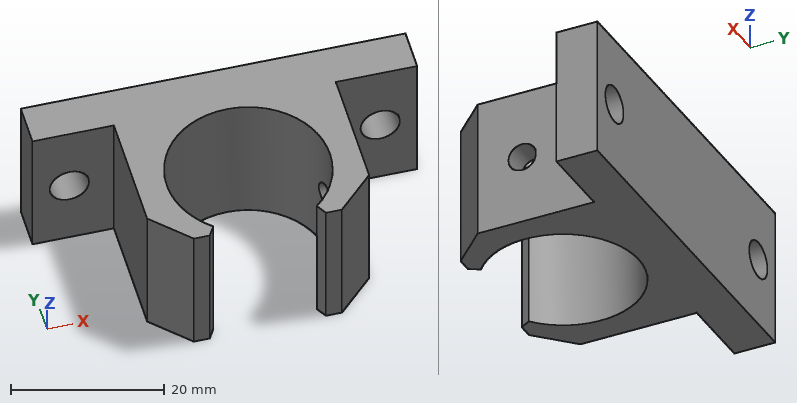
import cadquery as cq
import math

length = 52.0
depth = 28.0
height = 20.0
plate_thickness = 6.0
body_width = 30.0
corner_chamfer = 5.0
bore_radius = 11.0
bore_setback = 18.0
mouth_inner_width = 14.0
mouth_outer_width = 15.7
screw_hole_diameter = 5.3
screw_hole_inset = 5.0
side_hole_diameter = 4.0
side_hole_offset = 1.5

back_y = bore_setback
front_y = back_y - depth
plate_front_y = back_y - plate_thickness
mouth_y = -math.sqrt(bore_radius**2 - (mouth_inner_width / 2)**2)


def make_blank():
    """Mounting plate with the clip body, whose front corners are chamfered."""
    plate = cq.Workplane("XY").box(length, plate_thickness, height, centered=(True, False, True))
    plate = plate.translate((0, plate_front_y, 0))
    body = cq.Workplane("XY").box(body_width, depth, height, centered=(True, False, True))
    body = body.translate((0, front_y, 0)).faces("<Y").edges("|Z").chamfer(corner_chamfer)
    return plate.union(body)


def make_clip_opening():
    """Round bore with a mouth that flares toward the front."""
    bore = cq.Workplane("XY").circle(bore_radius).extrude(height / 2, both=True)
    mouth = (
        cq.Workplane("XY")
        .moveTo(0, 0)
        .lineTo(mouth_inner_width / 2, mouth_y)
        .lineTo(mouth_outer_width / 2, front_y)
        .lineTo(-mouth_outer_width / 2, front_y)
        .lineTo(-mouth_inner_width / 2, mouth_y)
        .close()
        .extrude(height / 2, both=True)
    )
    return bore.union(mouth)


def make_screw_holes():
    """Two holes through the plate, one near each end."""
    hole_x = length / 2 - screw_hole_inset
    return (
        cq.Workplane("XZ", origin=(0, back_y, 0))
        .pushPoints([(-hole_x, 0), (hole_x, 0)])
        .circle(screw_hole_diameter / 2)
        .extrude(plate_thickness)
    )


def make_side_hole():
    """Hole from the bore through the +X wall, slightly behind the bore axis."""
    return cq.Workplane("YZ").center(side_hole_offset, 0).circle(side_hole_diameter / 2).extrude(body_width / 2)


result = make_blank().cut(make_clip_opening()).cut(make_screw_holes()).cut(make_side_hole())